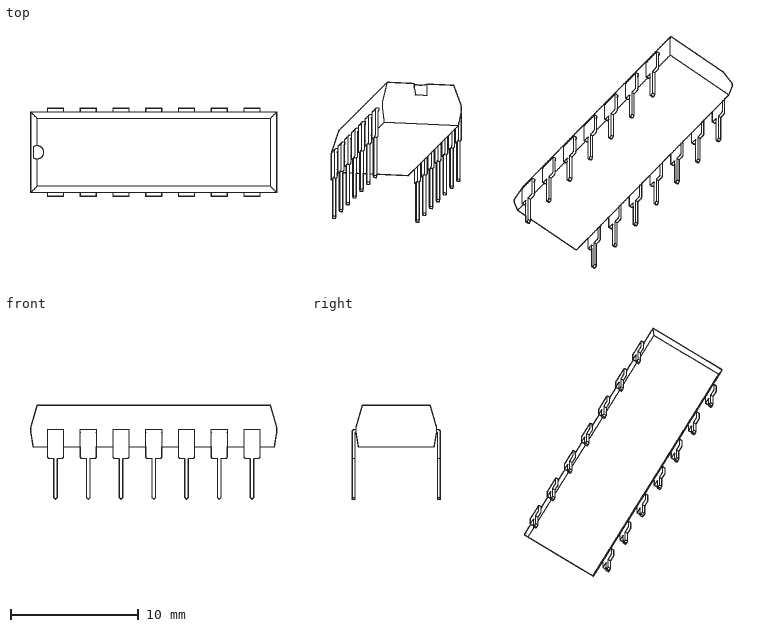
import cadquery as cq

body_length = 19.3
body_width = 6.33
lower_height = 1.15
band_height = 0.4
upper_height = 1.74
top_inset = 0.5
bottom_inset = 0.2
body_height = lower_height + band_height + upper_height

end_notch_diameter = 1.05
end_notch_depth = 0.98
end_notch_x = -body_length / 2 + top_inset
dimple_diameter = 1.3
dimple_depth = 0.1
dimple_x = -8.18
dimple_y = -1.55

leads_per_row = 7
lead_pitch = 2.57
row_outer_width = 6.9
lead_thickness = 0.23
lead_top = 1.39
lead_bottom = -4.1
bend_radius = 0.17
bend_inner_radius = 0.04
lead_embed = 0.2
shoulder_width = 1.27
shoulder_bottom = -0.89
shoulder_corner_radius = 0.15
pin_width = 0.3


def tapered_block(base_inset, end_inset, base_z, height):
    """Loft between two rectangles, each inset from the body outline."""
    return (
        cq.Workplane("XY", origin=(0, 0, base_z))
        .rect(body_length - 2 * base_inset, body_width - 2 * base_inset)
        .workplane(offset=height)
        .rect(body_length - 2 * end_inset, body_width - 2 * end_inset)
        .loft(combine=True, ruled=True)
    )


def make_body():
    lower = tapered_block(bottom_inset, 0, 0, lower_height)
    band = tapered_block(0, 0, lower_height, band_height)
    upper = tapered_block(0, top_inset, lower_height + band_height, upper_height)
    return lower.union(band).union(upper)


def end_notch_cutter():
    """Flat-bottomed round notch through the sloping end."""
    floor_z = body_height - end_notch_depth
    return (
        cq.Workplane("XY", origin=(end_notch_x, 0, floor_z))
        .circle(end_notch_diameter / 2)
        .extrude(end_notch_depth)
    )


def dimple_cutter():
    """Shallow cone that marks pin 1."""
    return (
        cq.Workplane("XZ", origin=(dimple_x, dimple_y, 0))
        .moveTo(0, body_height)
        .lineTo(dimple_diameter / 2, body_height)
        .lineTo(0, body_height - dimple_depth)
        .close()
        .revolve(360, (0, 0, 0), (0, 1, 0))
    )


def make_lead():
    """Front-row lead centred on X = 0: a bent strip trimmed to its stepped outline."""
    outer_y = -row_outer_width / 2
    inner_y = outer_y + lead_thickness
    root_y = -body_width / 2 + lead_embed
    underside_z = lead_top - lead_thickness
    strip = (
        cq.Workplane("YZ", origin=(-shoulder_width / 2, 0, 0))
        .moveTo(root_y, lead_top)
        .lineTo(outer_y + bend_radius, lead_top)
        .radiusArc((outer_y, lead_top - bend_radius), -bend_radius)
        .lineTo(outer_y, lead_bottom)
        .lineTo(inner_y, lead_bottom)
        .lineTo(inner_y, underside_z - bend_inner_radius)
        .radiusArc((inner_y + bend_inner_radius, underside_z), bend_inner_radius)
        .lineTo(root_y, underside_z)
        .close()
        .extrude(shoulder_width)
    )
    shoulder_height = lead_top - shoulder_bottom
    shoulder = (
        cq.Workplane("XZ", origin=(0, 0, lead_top - shoulder_height / 2))
        .rect(shoulder_width, shoulder_height)
        .extrude(row_outer_width)
        .edges("|Y and <Z")
        .fillet(shoulder_corner_radius)
    )
    half_pin = pin_width / 2
    pin = (
        cq.Workplane("XZ")
        .moveTo(-half_pin, lead_top)
        .lineTo(-half_pin, lead_bottom + half_pin)
        .lineTo(0, lead_bottom)
        .lineTo(half_pin, lead_bottom + half_pin)
        .lineTo(half_pin, lead_top)
        .close()
        .extrude(row_outer_width)
    )
    return strip.intersect(shoulder.union(pin))


result = make_body().cut(end_notch_cutter()).cut(dimple_cutter())

front_lead = make_lead()
back_lead = front_lead.mirror("XZ")
for index in range(leads_per_row):
    lead_x = (index - (leads_per_row - 1) / 2) * lead_pitch
    result = result.union(front_lead.translate((lead_x, 0, 0)))
    result = result.union(back_lead.translate((lead_x, 0, 0)))